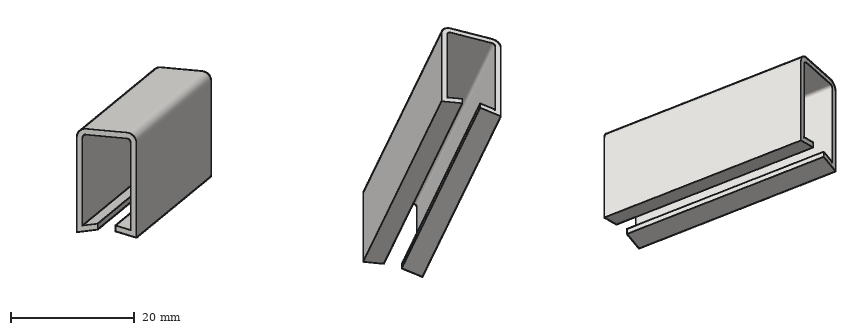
import cadquery as cq
import math

width = 10.17
length = 38.1
height = 17.53

wall = 1.0
outer_radius = 1.6
inner_radius = outer_radius - wall

lip_gap = 3.05
lip_angle = math.radians(12)
lip_thickness = 1.0

half_width = width / 2
half_inside = half_width - wall
half_gap = lip_gap / 2
lip_slope = math.tan(lip_angle)
lip_rise = (half_width - half_gap) * lip_slope
lip_depth = lip_thickness / math.cos(lip_angle)


def rounded_block(half_span, top, radius):
    """Block standing on Z = 0, with its two long top edges rounded."""
    return (
        cq.Workplane("XY")
        .box(2 * half_span, length, top, centered=(True, True, False))
        .edges("|Y and >Z")
        .fillet(radius)
    )


def lip_section(side):
    """Lip rising from the wall's bottom edge to the gap; side is -1 or 1."""
    inside_corner_z = wall * lip_slope + lip_depth
    return (
        cq.Workplane("XZ", origin=(0, length / 2, 0))
        .moveTo(side * half_width, 0)
        .lineTo(side * half_gap, lip_rise)
        .lineTo(side * half_gap, lip_rise + lip_depth)
        .lineTo(side * half_inside, inside_corner_z)
        .lineTo(side * half_width, inside_corner_z)
        .close()
        .extrude(length)
    )


def below_wall(side):
    """Wedge that bevels the wall's bottom face to the slope of the lip."""
    return (
        cq.Workplane("XZ", origin=(0, length / 2, 0))
        .moveTo(side * half_width, 0)
        .lineTo(side * half_inside, wall * lip_slope)
        .lineTo(side * half_inside, 0)
        .close()
        .extrude(length)
    )


result = rounded_block(half_width, height, outer_radius).cut(
    rounded_block(half_inside, height - wall, inner_radius)
)
for side in (-1, 1):
    result = result.cut(below_wall(side)).union(lip_section(side))